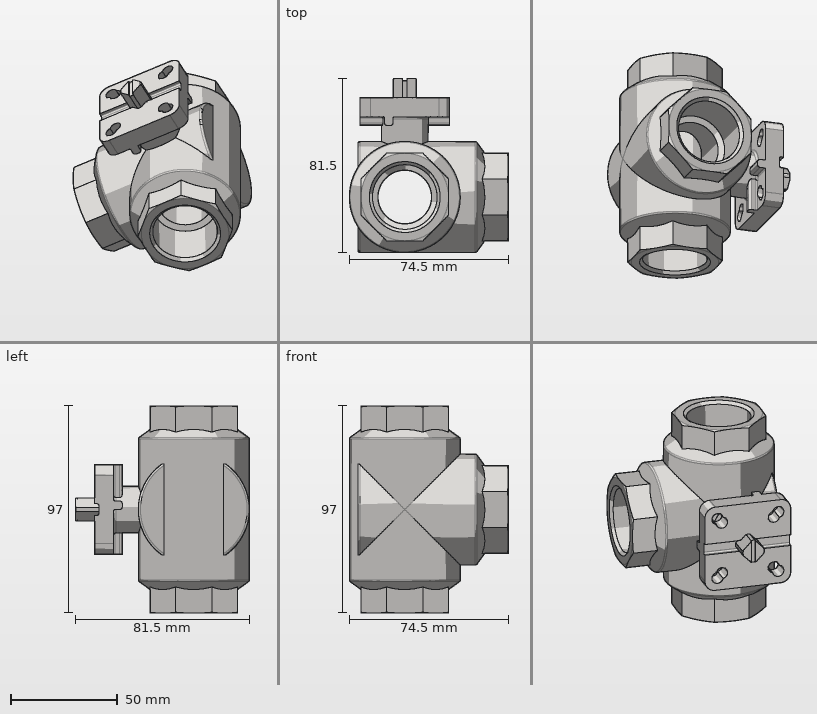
import cadquery as cq
import math

body_radius = 26.0
port_reach = 48.5
shoulder_reach = 33.5
shoulder_angle = 36.0
body_edge_radius = 1.0
branch_back = 22.0

octagon_flats = 41.0
octagon_sides = 8
octagon_half = octagon_flats / 2
octagon_corner_radius = octagon_half / math.cos(math.pi / octagon_sides)
octagon_end_angle = 15.0

shoulder_overlap = 1.0
shoulder_end_radius = octagon_half - shoulder_overlap
shoulder_rise = (body_radius - shoulder_end_radius) * math.tan(math.radians(shoulder_angle))
shoulder_end = shoulder_reach + shoulder_rise

bore_radius = 12.5
thread_radius = 30.29 / 2
thread_depth = 22.0
thread_runout_angle = 30.0
mouth_radius = 16.6
mouth_depth = mouth_radius - thread_radius

neck_radius = 11.0
neck_fillet = 1.0
plate_size = 42.0
plate_half = plate_size / 2
plate_thickness = 9.0
plate_corner_radius = 5.0
diagonal_angle = 45.0
stem_end = 55.5
stem_length = 9.0
plate_back = stem_end - stem_length
plate_front = plate_back - plate_thickness

mount_hole_diameter = 5.5
mount_circle_diameters = (36.0, 42.0)

rib_height = 4.0
rib_width = 4.0
rib_tip_radius = 1.25
rib_root_radius = 0.6
upright_rib_offset = 7.5
level_rib_lift = 2.0

groove_width = 5.4
groove_depth = 2.0
groove_corner_radius = 0.8

stem_flats = 9.0
stem_turned_radius = 5.5
stem_end_chamfer = 0.4
stem_slot_width = 1.9
stem_slot_depth = 1.0


def disc(plane_y, radius, length):
    """Cylinder along +Y, starting at plane_y."""
    return cq.Workplane("XZ", origin=(0, plane_y, 0)).circle(radius).extrude(-length)


def turned(outline):
    """Solid of revolution about Z from (radius, height) points."""
    return cq.Workplane("XZ").polyline(outline).close().revolve(360, (0, 0), (0, 1))


def round_body(lower_outline):
    """Round body along Z with a conical upper shoulder; both outer rims are rounded."""
    outline = lower_outline + [
        (body_radius, shoulder_reach),
        (shoulder_end_radius, shoulder_end),
        (0, shoulder_end),
    ]
    outer_rims = cq.selectors.RadiusNthSelector(-1)
    return turned(outline).edges(outer_rims).fillet(body_edge_radius)


def run_body():
    """Vertical run, with a conical shoulder at each end."""
    return round_body([
        (0, -shoulder_end),
        (shoulder_end_radius, -shoulder_end),
        (body_radius, -shoulder_reach),
    ])


def branch_body():
    """Branch with a flat closed end on -X and a conical shoulder on +X."""
    body = round_body([
        (0, -branch_back),
        (body_radius, -branch_back),
    ])
    return body.rotate((0, 0, 0), (0, 1, 0), 90)


def port_octagon():
    """Octagonal end of the +Z port, its corners turned off at the end face."""
    octagon = (
        cq.Workplane("XY", origin=(0, 0, shoulder_reach))
        .transformed(rotate=(0, 0, 180 / octagon_sides))
        .polygon(octagon_sides, 2 * octagon_corner_radius)
        .extrude(port_reach - shoulder_reach)
    )
    corner_drop = (octagon_corner_radius - octagon_half) * math.tan(math.radians(octagon_end_angle))
    envelope = turned([
        (0, 0),
        (octagon_corner_radius, 0),
        (octagon_corner_radius, port_reach - corner_drop),
        (octagon_half, port_reach),
        (0, port_reach),
    ])
    return octagon.intersect(envelope)


def port_bore():
    """Bore along +Z from the centre to a port end, with thread bore and mouth chamfer."""
    runout_start = port_reach - thread_depth
    runout_end = runout_start - (thread_radius - bore_radius) * math.tan(math.radians(thread_runout_angle))
    return turned([
        (0, 0),
        (bore_radius, 0),
        (bore_radius, runout_end),
        (thread_radius, runout_start),
        (thread_radius, port_reach - mouth_depth),
        (mouth_radius, port_reach),
        (0, port_reach),
    ])


def at_each_port(shape):
    """Copies of a +Z shape at the +Z, -Z and +X ports, joined."""
    down = shape.mirror("XY")
    side = shape.rotate((0, 0, 0), (0, 1, 0), 90)
    return shape.union(down).union(side)


def rib(rib_offset):
    """Rib toward +Z, offset to -X of the stem axis, with rounded tip and filleted root."""
    tip_y = plate_front - rib_height
    half = rib_width / 2
    foot = half + rib_root_radius
    arc_offset = math.sqrt(0.5)
    tip_mid = half - rib_tip_radius * (1 - arc_offset)
    tip_mid_y = tip_y + rib_tip_radius * (1 - arc_offset)
    root_mid = foot - rib_root_radius * arc_offset
    root_mid_y = plate_front - rib_root_radius * (1 - arc_offset)
    return (
        cq.Workplane("XY", origin=(-rib_offset, 0, 0))
        .moveTo(-foot, plate_front)
        .threePointArc((-root_mid, root_mid_y), (-half, plate_front - rib_root_radius))
        .lineTo(-half, tip_y + rib_tip_radius)
        .threePointArc((-tip_mid, tip_mid_y), (rib_tip_radius - half, tip_y))
        .lineTo(half - rib_tip_radius, tip_y)
        .threePointArc((tip_mid, tip_mid_y), (half, tip_y + rib_tip_radius))
        .lineTo(half, plate_front - rib_root_radius)
        .threePointArc((root_mid, root_mid_y), (foot, plate_front))
        .lineTo(foot, plate_front + rib_root_radius)
        .lineTo(-foot, plate_front + rib_root_radius)
        .close()
        .extrude(plate_half)
    )


def mounting_plate():
    """Square plate with groove, ribs, neck and paired mounting holes."""
    plate = (
        cq.Workplane("XZ", origin=(0, plate_front, 0))
        .rect(plate_size, plate_size)
        .extrude(-plate_thickness)
        .edges("|Y")
        .fillet(plate_corner_radius)
    )
    groove = (
        cq.Workplane("XY")
        .box(plate_size, 2 * groove_depth, groove_width)
        .edges("|X")
        .fillet(groove_corner_radius)
        .translate((0, plate_back, 0))
    )
    plate = plate.cut(groove)

    neck = disc(0, neck_radius, plate_front).rotate((0, 0, 0), (0, 1, 0), diagonal_angle)
    plate = plate.union(neck)
    margin = neck_fillet / 2
    root = cq.selectors.BoxSelector(
        (-neck_radius - margin, plate_front - margin, -neck_radius - margin),
        (neck_radius + margin, plate_front + margin, neck_radius + margin),
    )
    plate = plate.edges(root).fillet(neck_fillet)

    upright_rib = rib(upright_rib_offset)
    level_rib = rib(-level_rib_lift).rotate((0, 0, 0), (0, 1, 0), -90)
    for outward_rib in (upright_rib, level_rib):
        for half_turn in (0, 180):
            plate = plate.union(outward_rib.rotate((0, 0, 0), (0, 1, 0), half_turn))

    for circle_diameter in mount_circle_diameters:
        holes = (
            cq.Workplane("XZ", origin=(0, plate_front, 0))
            .polarArray(circle_diameter / 2, diagonal_angle, 360, 4)
            .circle(mount_hole_diameter / 2)
            .extrude(-plate_thickness)
        )
        plate = plate.cut(holes)
    return plate


def stem():
    """Square drive stem with turned corners and an indicator slot along Z."""
    start = plate_back - groove_depth
    length = stem_end - start
    square = (
        cq.Workplane("XZ", origin=(0, start, 0))
        .transformed(rotate=(0, 0, diagonal_angle))
        .rect(stem_flats, stem_flats)
        .extrude(-length)
    )
    round_bar = disc(start, stem_turned_radius, length).faces(">Y").chamfer(stem_end_chamfer)
    slot = (
        cq.Workplane("XY")
        .box(stem_slot_width, 2 * stem_slot_depth, 4 * stem_turned_radius)
        .translate((0, stem_end, 0))
    )
    return square.intersect(round_bar).cut(slot)


body = run_body().union(branch_body()).union(at_each_port(port_octagon()))
valve = body.union(mounting_plate()).union(stem())
result = valve.cut(at_each_port(port_bore()))